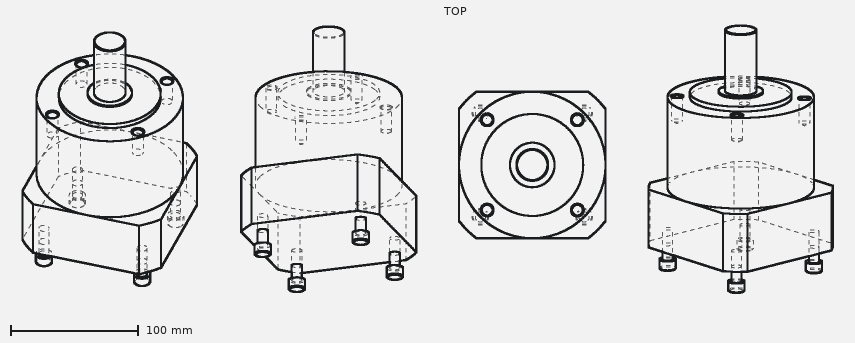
import cadquery as cq
import math


flange_side = 115.0
corner_circle_diameter = 144.6
flange_height = 47.4

body_diameter = flange_side
pilot_diameter = 80.0
pilot_height = 4.0
collar_diameter = 35.0
collar_height = 1.2
shaft_diameter = 25.0
shaft_length = 50.0
shaft_chamfer = 0.5

mounting_circle_diameter = 100.0
mounting_hole_diameter = 8.5
mounting_mouth_diameter = 10.0
mounting_hole_depth = 20.0
drill_point_angle = 118

screw_circle_diameter = 115.0
screw_diameter = 8.0
screw_length = 25.0
screw_gap = 12.2
head_diameter = 13.0
head_height = 7.9
head_chamfer = 0.8

overall_height = 196.5
head_top = -screw_gap
head_bottom = head_top - head_height
shaft_end = overall_height + head_bottom
collar_top = shaft_end - shaft_length
pilot_top = collar_top - collar_height
body_top = pilot_top - pilot_height
screw_tip = head_top + screw_length


def disc(diameter, bottom, top):
    """Upright cylinder on the Z axis between two levels."""
    return cq.Workplane("XY").workplane(offset=bottom).circle(diameter / 2).extrude(top - bottom)


def diagonal_places(circle_diameter):
    """The four places where the diagonals cross a circle."""
    offset = circle_diameter / 2 * math.sqrt(0.5)
    return [(x, y) for x in (-offset, offset) for y in (-offset, offset)]


def make_flange():
    """Square flange whose corners follow a circle."""
    square = cq.Workplane("XY").rect(flange_side, flange_side).extrude(flange_height)
    return square.intersect(disc(corner_circle_diameter, 0, flange_height))


def make_mounting_hole():
    """Cutter for a blind hole with a 45 degree mouth and a drill point, top at Z = 0."""
    radius = mounting_hole_diameter / 2
    mouth_radius = mounting_mouth_diameter / 2
    mouth_depth = mouth_radius - radius
    point_depth = radius / math.tan(math.radians(drill_point_angle / 2))
    outline = [
        (0, 0),
        (mouth_radius, 0),
        (radius, -mouth_depth),
        (radius, -mounting_hole_depth),
        (0, -mounting_hole_depth - point_depth),
    ]
    return cq.Workplane("XZ").polyline(outline).close().revolve(360, (0, 0, 0), (0, 1, 0))


def make_housing():
    """Flange, round body, pilot, collar and shaft as one solid, with all its holes."""
    shaft = disc(shaft_diameter, collar_top, shaft_end).faces(">Z").chamfer(shaft_chamfer)
    body = (
        make_flange()
        .union(disc(body_diameter, flange_height, body_top))
        .union(disc(pilot_diameter, body_top, pilot_top))
        .union(disc(collar_diameter, pilot_top, collar_top))
        .union(shaft)
    )
    for x, y in diagonal_places(mounting_circle_diameter):
        body = body.cut(make_mounting_hole().translate((x, y, body_top)))
    screw_hole = disc(screw_diameter, 0, screw_tip)
    for x, y in diagonal_places(screw_circle_diameter):
        body = body.cut(screw_hole.translate((x, y, 0)))
    return body


def make_cap_screw(x, y):
    """Cap screw standing on its chamfered head, with the shank pointing up."""
    head = disc(head_diameter, head_bottom, head_top).faces("<Z").chamfer(head_chamfer)
    shank = disc(screw_diameter, head_top, screw_tip)
    return head.union(shank).translate((x, y, 0))


housing = make_housing()
cap_screws = [make_cap_screw(x, y) for x, y in diagonal_places(screw_circle_diameter)]

result = cq.Compound.makeCompound([housing.val(), *[screw.val() for screw in cap_screws]])